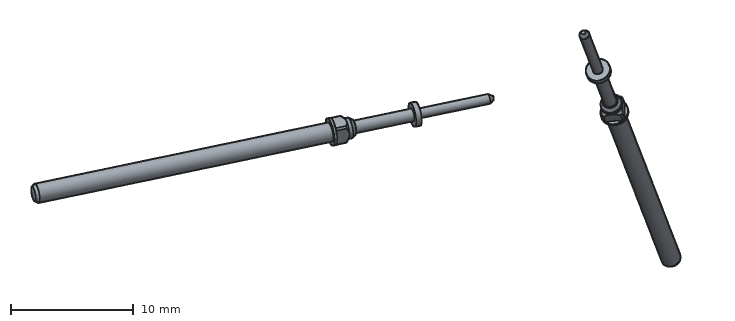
import cadquery as cq

total_length = 39.5

barrel_diameter = 1.6
flange_diameter = 2.3
band_diameter = 1.75
shoulder_diameter = 1.25
neck_diameter = 1.05
collar_diameter = 2.0
pin_diameter = 0.83

barrel_length = 25.48
flange_thickness = 0.25
square_length = 1.15
band_length = 0.3
cone_length = 0.35
collar_thickness = 0.47
pin_length = 6.48

square_width = band_diameter
square_corner_diameter = 2.25

barrel_chamfer_length = 0.28
barrel_chamfer_depth = 0.2
tip_chamfer_length = 0.4
tip_chamfer_depth = 0.25

flange_end = barrel_length + flange_thickness
square_end = flange_end + square_length
band_end = square_end + band_length
cone_end = band_end + cone_length
collar_end = total_length - pin_length
collar_start = collar_end - collar_thickness


def turned(start, end, diameter):
    """Solid cylinder on the Y axis between two stations."""
    disc = cq.Workplane("XZ", origin=(0, start, 0)).circle(diameter / 2)
    return disc.extrude(start - end)


def tapered(start, end, start_diameter, end_diameter):
    """Solid cone frustum on the Y axis between two stations."""
    outline = [(0, start), (start_diameter / 2, start), (end_diameter / 2, end), (0, end)]
    return cq.Workplane("XY").polyline(outline).close().revolve(360, (0, 0, 0), (0, 1, 0))


def square_section():
    """Square bar with rounded-off corners and a 45 degree lead-in towards the band."""
    lead_in = (square_corner_diameter - band_diameter) / 2
    lead_in_start = square_end - lead_in
    blank = turned(flange_end, lead_in_start, square_corner_diameter)
    blank = blank.union(tapered(lead_in_start, square_end, square_corner_diameter, band_diameter))
    bar = cq.Workplane("XZ", origin=(0, flange_end, 0)).rect(square_width, square_width)
    return blank.intersect(bar.extrude(-square_length))


def barrel():
    """Long barrel with a chamfered free end."""
    end_diameter = barrel_diameter - 2 * barrel_chamfer_depth
    end = tapered(0, barrel_chamfer_length, end_diameter, barrel_diameter)
    return turned(barrel_chamfer_length, barrel_length, barrel_diameter).union(end)


def pin():
    """Thin pin with a conical tip."""
    tip_start = total_length - tip_chamfer_length
    tip_diameter = pin_diameter - 2 * tip_chamfer_depth
    tip = tapered(tip_start, total_length, pin_diameter, tip_diameter)
    return turned(collar_end, tip_start, pin_diameter).union(tip)


result = (
    barrel()
    .union(turned(barrel_length, flange_end, flange_diameter))
    .union(square_section())
    .union(turned(square_end, band_end, band_diameter))
    .union(tapered(band_end, cone_end, band_diameter, shoulder_diameter))
    .union(turned(cone_end, collar_start, neck_diameter))
    .union(turned(collar_start, collar_end, collar_diameter))
    .union(pin())
)